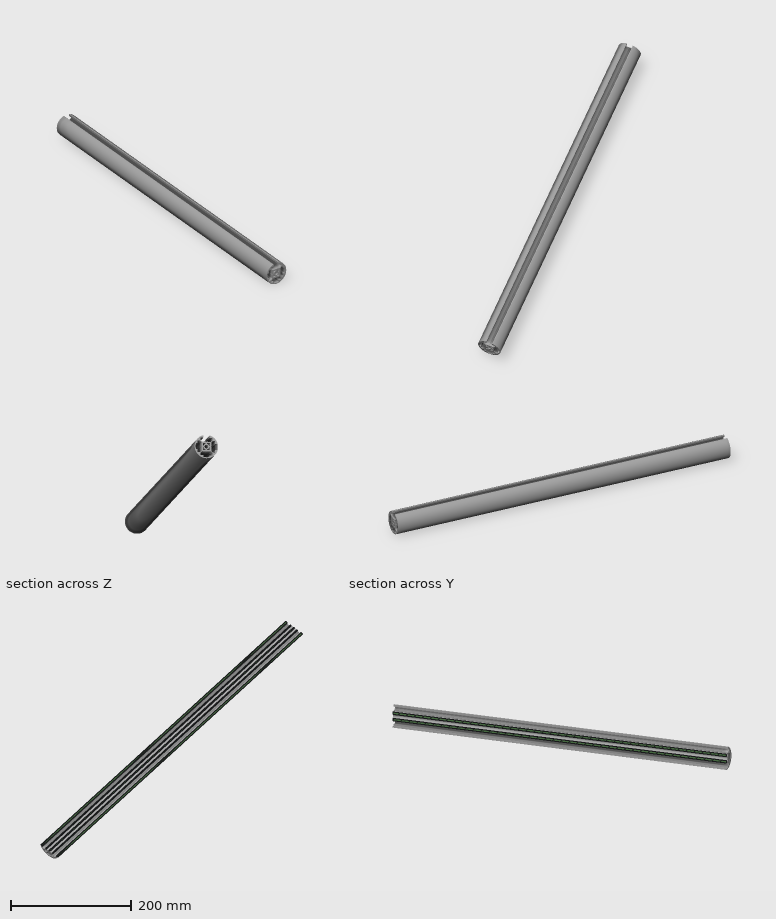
import cadquery as cq
import math

LENGTH = 609.5

BORE_RADIUS = 3.0
RING_RADIUS = 5.0
RIB_HALF_WIDTH = 1.4
CHAMBER_EDGE = 6.0
CORE_WALL = 2.3

CAVITY_DEPTH = 7.0
LIP_THICKNESS = 5.0
FLOOR_HEIGHT = CHAMBER_EDGE + CORE_WALL
LIP_HEIGHT = FLOOR_HEIGHT + CAVITY_DEPTH
OUTER_RADIUS = LIP_HEIGHT + LIP_THICKNESS

SLOT_HALF_WIDTH = 5.2
LIP_OVERHANG = 5.0
CAVITY_HALF_WIDTH = SLOT_HALF_WIDTH + LIP_OVERHANG
WEB_OFFSET = 1.05
SKIN_THICKNESS = 1.7
GROOVE_HALF_WIDTH = 0.5
GROOVE_DEPTH = 0.35
MOUTH_CHAMFER_WIDTH = 1.1
MOUTH_CHAMFER_DEPTH = 0.35
MOUTH_CLEARANCE = 6.0

CLOSED_SLOT_ANGLES = (90, 180, 270)


def extrude(outline):
    return outline.extrude(LENGTH)


def section():
    return cq.Workplane("YZ")


def slot_flank():
    """Points of the +Y flank of a T-slot, from the floor groove up to the underside of the lip."""
    return [
        (GROOVE_HALF_WIDTH, FLOOR_HEIGHT),
        (FLOOR_HEIGHT - WEB_OFFSET, FLOOR_HEIGHT),
        (CAVITY_HALF_WIDTH, CAVITY_HALF_WIDTH + WEB_OFFSET),
        (CAVITY_HALF_WIDTH, LIP_HEIGHT),
        (SLOT_HALF_WIDTH, LIP_HEIGHT),
    ]


def mirrored(points):
    return [(-y, z) for y, z in reversed(points)]


def open_slot():
    """Slot that breaks through the shell, with a chamfered mouth."""
    mouth_half_width = SLOT_HALF_WIDTH + MOUTH_CHAMFER_WIDTH
    mouth_height = math.sqrt(OUTER_RADIUS**2 - mouth_half_width**2)
    flank = slot_flank() + [
        (SLOT_HALF_WIDTH, mouth_height - MOUTH_CHAMFER_DEPTH),
        (mouth_half_width, mouth_height),
        (mouth_half_width, OUTER_RADIUS + MOUTH_CLEARANCE),
    ]
    groove_tip = (0, FLOOR_HEIGHT - GROOVE_DEPTH)
    return extrude(section().polyline([groove_tip] + flank + mirrored(flank)).close())


def closed_slot():
    """Slot that stops at the inner face of the skin."""
    skin_radius = OUTER_RADIUS - SKIN_THICKNESS
    skin_corner_height = math.sqrt(skin_radius**2 - SLOT_HALF_WIDTH**2)
    flank = slot_flank() + [(SLOT_HALF_WIDTH, skin_corner_height)]
    groove_tip = (0, FLOOR_HEIGHT - GROOVE_DEPTH)
    outline = (
        section()
        .polyline([groove_tip] + flank)
        .threePointArc((0, skin_radius), (-SLOT_HALF_WIDTH, skin_corner_height))
    )
    for point in mirrored(flank)[1:]:
        outline = outline.lineTo(*point)
    return extrude(outline.close())


def core_chambers():
    """Four corner chambers, left where the cross ribs and the bore ring are taken out of a square."""
    side = 2 * CHAMBER_EDGE
    rib_width = 2 * RIB_HALF_WIDTH
    chambers = extrude(section().rect(side, side))
    chambers = chambers.cut(extrude(section().rect(rib_width, side)))
    chambers = chambers.cut(extrude(section().rect(side, rib_width)))
    return chambers.cut(extrude(section().circle(RING_RADIUS)))


profile = extrude(section().circle(OUTER_RADIUS))
profile = profile.cut(open_slot())
for angle in CLOSED_SLOT_ANGLES:
    profile = profile.cut(closed_slot().rotate((0, 0, 0), (1, 0, 0), angle))
profile = profile.cut(core_chambers())
profile = profile.cut(extrude(section().circle(BORE_RADIUS)))

result = profile